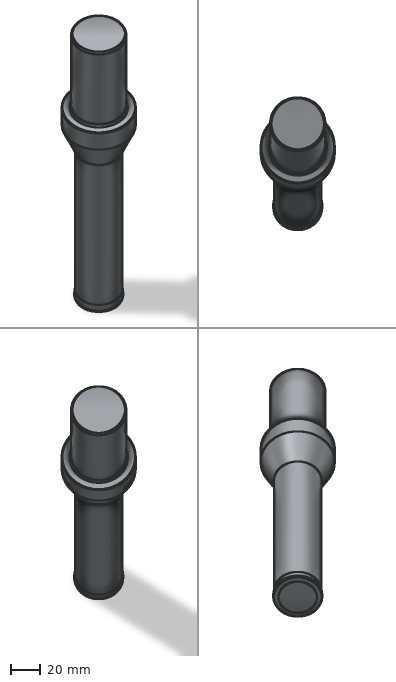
import cadquery as cq

total_height = 248.2

head_height = 7.2
head_diameter = 33.7
flare_height = 4.7
tip_diameter = 26.3
tip_height = 0.5
edge_chamfer_width = 0.5
edge_chamfer_height = 1.5

stem_diameter = 32.8
stem_top = 139.5
cone_bottom = 141.0
cone_bottom_diameter = 34.0
collar_diameter = 50.9
collar_bottom = 162.5
collar_top = 178.5
collar_chamfer = 0.5
shank_diameter = 38.0
shank_bottom = 180.7
shank_chamfer_width = 1.0
shank_chamfer_height = 1.7
neck_diameter = 37.0
neck_bottom = 179.7
neck_foot_diameter = 40.0


def revolve_profile(profile):
    """Turn an outline of (radius, height) points about the Z axis."""
    return cq.Workplane("XZ").polyline(profile).close().revolve(360, (0, 0, 0), (0, 1, 0))


def make_cutting_head():
    """Short disc that flares out from the stem and has a chamfered lower end."""
    head_radius = head_diameter / 2
    return revolve_profile([
        (0, 0),
        (tip_diameter / 2, 0),
        (tip_diameter / 2, tip_height),
        (head_radius - edge_chamfer_width, tip_height),
        (head_radius, tip_height + edge_chamfer_height),
        (head_radius, head_height - flare_height),
        (stem_diameter / 2, head_height),
        (0, head_height),
    ])


def make_holder():
    """Stem, cone, collar, undercut neck and clamping shank in one turned body."""
    collar_radius = collar_diameter / 2
    shank_radius = shank_diameter / 2
    neck_radius = neck_diameter / 2
    return revolve_profile([
        (0, head_height),
        (stem_diameter / 2, head_height),
        (stem_diameter / 2, stem_top),
        (cone_bottom_diameter / 2, cone_bottom),
        (collar_radius, collar_bottom),
        (collar_radius, collar_top - collar_chamfer),
        (collar_radius - collar_chamfer, collar_top),
        (neck_foot_diameter / 2, collar_top),
        (neck_radius, neck_bottom),
        (shank_radius, shank_bottom),
        (shank_radius, total_height - shank_chamfer_height),
        (shank_radius - shank_chamfer_width, total_height),
        (0, total_height),
    ])


cutting_head = make_cutting_head()
holder = make_holder()

result = cq.Compound.makeCompound([cutting_head.val(), holder.val()])